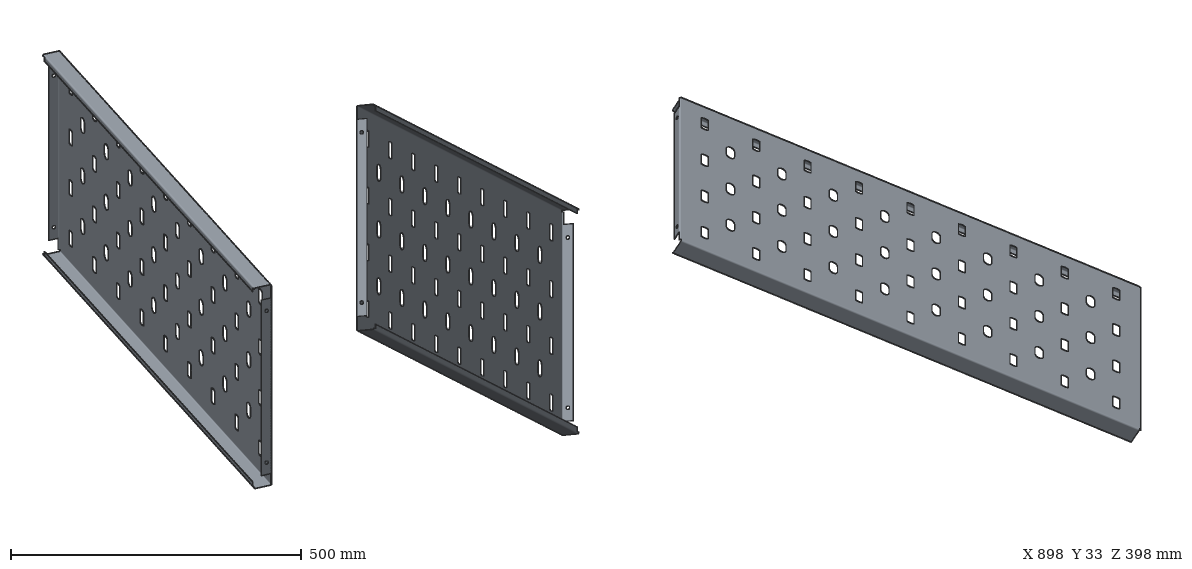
import cadquery as cq

length = 898.0
depth = 33.0
height = 398.0

sheet = 1.2
inner_radius = 2.0
outer_radius = inner_radius + sheet

long_flange_inset = 4.0
lip_height = 11.0
lip_end_relief = 6.0
side_flange_depth = 21.0
side_flange_inset = 25.0

slot_field_length = 800.0
slot_height = 30.0
round_slot_width = 16.0
flat_slot_width = 13.5
flat_slot_columns = 9
flat_slot_rows = 4
round_slot_columns = flat_slot_columns - 1
round_slot_rows = flat_slot_rows - 1
pitch = slot_field_length / round_slot_columns

side_hole_diameter = 6.0
side_hole_from_back = 11.0
side_hole_spacing = round_slot_rows * pitch

back = depth / 2
front = -back


def rounded_box(x_size, y_size, z_size, y_back, radius, edges):
    """Box centred on X and Z with its rear face at y_back and rounded edges along one axis."""
    box = cq.Workplane("XY").box(x_size, y_size, z_size).translate((0, y_back - y_size / 2, 0))
    return box.edges(edges).fillet(radius)


def long_channel():
    """C-shaped sheet: back panel, top and bottom flanges, and the lips on their front edges."""
    channel_length = length - 2 * long_flange_inset
    outside = rounded_box(channel_length, depth, height, back, outer_radius, "|X")
    inside = rounded_box(
        channel_length, depth - 2 * sheet, height - 2 * sheet, back - sheet, inner_radius, "|X"
    )
    opening = cq.Workplane("XY").box(length, depth, height - 2 * lip_height).translate((0, front, 0))
    return outside.cut(inside).cut(opening)


def side_channel():
    """U-shaped sheet: back panel with a flange folded forward at each end."""
    panel_height = height - 2 * outer_radius
    outside = rounded_box(length, 2 * depth, panel_height, back, outer_radius, "|Z and >Y")
    inside = rounded_box(
        length - 2 * sheet, 2 * depth, panel_height, back - sheet, inner_radius, "|Z and >Y"
    )
    flange_front = back - side_flange_depth
    trim = cq.Workplane("XY").box(length, 2 * depth, height).translate((0, flange_front - depth, 0))
    return outside.cut(inside).cut(trim).cut(side_corner_notches())


def side_corner_notches():
    """Blocks that shorten the side flanges at top and bottom, leaving the back panel whole."""
    notch = cq.Workplane("XY").box(length, depth, 2 * side_flange_inset)
    notch_centre = back - outer_radius - depth / 2
    return notch.translate((0, notch_centre, height / 2)).union(
        notch.translate((0, notch_centre, -height / 2))
    )


def lip_end_cuts():
    """Blocks that shorten both ends of the straight part of each lip."""
    straight_height = height - 2 * outer_radius
    block = cq.Workplane("XY").box(2 * lip_end_relief, 2 * outer_radius, straight_height)
    end = length / 2 - long_flange_inset
    return block.translate((end, front, 0)).union(block.translate((-end, front, 0)))


def through_panel(sketch):
    """Extrude a profile drawn on the XZ plane through the back panel."""
    return sketch.extrude(2 * sheet)


def panel_plane():
    """XZ workplane half a sheet behind the back panel's rear face, extruding forward."""
    return cq.Workplane("XZ", origin=(0, back + sheet / 2, 0))


def round_slots():
    """Staggered upright slots with semicircular ends."""
    profile = (
        panel_plane()
        .rarray(pitch, pitch, round_slot_columns, round_slot_rows)
        .slot2D(slot_height, round_slot_width, 90)
    )
    return through_panel(profile)


def flat_slots():
    """Upright slots with straight sides and shallow arced ends."""
    spots = panel_plane().rarray(pitch, pitch, flat_slot_columns, flat_slot_rows)
    discs = through_panel(spots.circle(slot_height / 2))
    strips = through_panel(spots.rect(flat_slot_width, slot_height))
    return discs.intersect(strips)


def side_holes():
    """Two round holes through each side flange."""
    return (
        cq.Workplane("YZ", origin=(-length / 2, back - side_hole_from_back, 0))
        .rarray(9, side_hole_spacing, 1, 2)
        .circle(side_hole_diameter / 2)
        .extrude(length)
    )


channel = long_channel().cut(lip_end_cuts()).union(side_channel())
result = channel.cut(round_slots()).cut(flat_slots()).cut(side_holes())